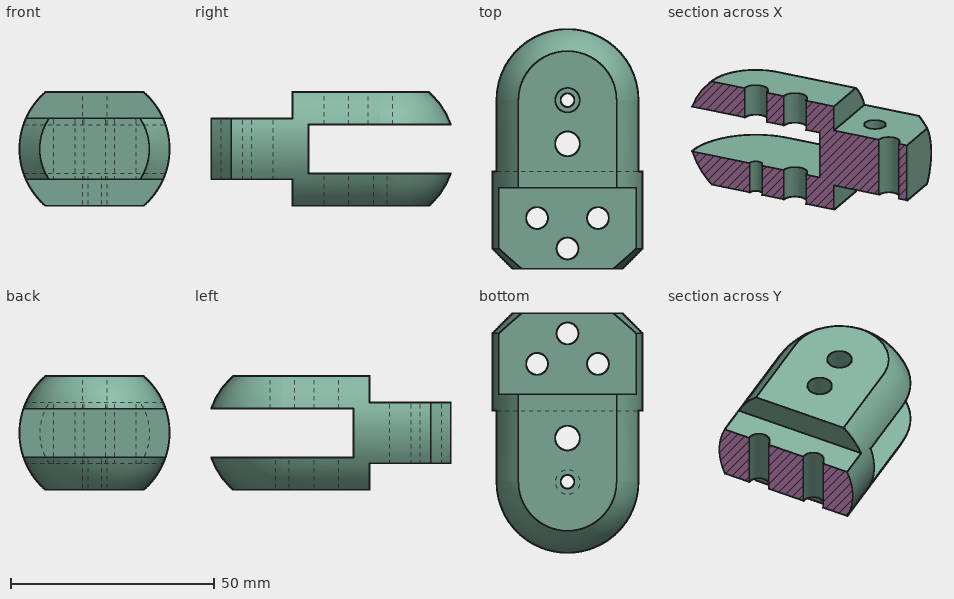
import cadquery as cq
import math

length = 59.0
body_diameter = 37.0
body_height = 28.0
slot_height = 12.0
slot_floor_y = 24.0
tongue_length = 20.0
tongue_height = 15.0
end_chamfer = 5.0

pin_clearance_diameter = 6.0
pin_thread_diameter = 3.3
fork_hole_spacing = 10.75
tongue_hole_diameter = 5.3
tongue_pair_spacing = 15.0
tongue_pair_y = 12.5
tongue_single_y = 5.0

body_radius = body_diameter / 2
dome_center_y = length - math.sqrt(body_radius**2 - (slot_height / 2) ** 2)


def slab(y_start, y_end, z_start, z_end):
    """Box across the full body width between the given Y and Z limits."""
    return cq.Workplane("XY").box(
        body_diameter, y_end - y_start, z_end - z_start, centered=(True, False, False)
    ).translate((0, y_start, z_start))


def make_body():
    """Round bar with a conical tongue end and a spherical fork end."""
    arc_offset = body_radius * math.sqrt(0.5)
    return (
        cq.Workplane("XY")
        .lineTo(body_radius - end_chamfer, 0)
        .lineTo(body_radius, end_chamfer)
        .lineTo(body_radius, dome_center_y)
        .threePointArc(
            (arc_offset, dome_center_y + arc_offset),
            (0, dome_center_y + body_radius),
        )
        .close()
        .revolve(360, (0, 0, 0), (0, 1, 0))
    )


def vertical_holes(points, diameter, z_start, z_end):
    """Cutting cylinders at the given XY points."""
    return (
        cq.Workplane("XY", origin=(0, 0, z_start))
        .pushPoints(points)
        .circle(diameter / 2)
        .extrude(z_end - z_start)
    )


half_height = body_height / 2
dome_end_y = dome_center_y + body_radius

tongue = slab(0, tongue_length, -tongue_height / 2, tongue_height / 2)
fork = slab(tongue_length, dome_end_y, -half_height, half_height)
result = make_body().intersect(tongue.union(fork))

result = result.cut(slab(slot_floor_y, dome_end_y, -slot_height / 2, slot_height / 2))

pin_point = [(0, dome_center_y)]
result = result.cut(vertical_holes(pin_point, pin_clearance_diameter, 0, half_height))
result = result.cut(vertical_holes(pin_point, pin_thread_diameter, -half_height, 0))

second_point = [(0, dome_center_y - fork_hole_spacing)]
result = result.cut(vertical_holes(second_point, pin_clearance_diameter, -half_height, half_height))

tongue_points = [
    (-tongue_pair_spacing / 2, tongue_pair_y),
    (tongue_pair_spacing / 2, tongue_pair_y),
    (0, tongue_single_y),
]
result = result.cut(vertical_holes(tongue_points, tongue_hole_diameter, -half_height, half_height))